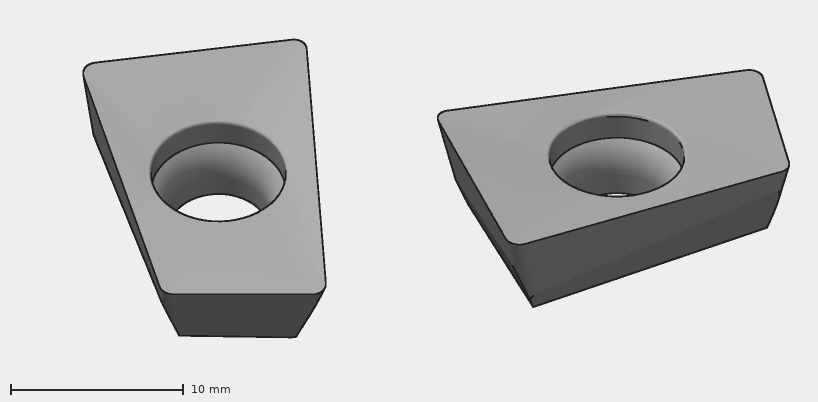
import cadquery as cq
import math

front_left = cq.Vector(-9.9, -5.66, 5.48)
front_right = cq.Vector(8.42, -5.66, 4.8)
back_left = cq.Vector(-8.09, 7.45, 5.91)
back_right_x, back_right_y = 11.18, 3.46

seat_front_left = cq.Vector(-8.03, -4.87, 0)
seat_front_right = cq.Vector(7.47, -4.4, 0)
seat_back_left = cq.Vector(-6.78, 5.58, 0)
seat_back_right = cq.Vector(9.5, 2.07, 0)

front_relief = 5
left_relief = 11.1
right_relief = 14.4
back_relief = 12.8
lower_relief = 18.5
lower_left_relief = 20.9
corner_radius = 0.8

back_left_swing = 10.5
front_left_swing = 17

rim_height = 5.0
rim_radius = 4.09
rim_round = 0.19
well_radius = rim_radius - rim_round
seat_height = 3.28
bore_height = 1.4
bore_radius = 2.9

block_size = 62.22

top_normal = (front_right - front_left).cross(back_left - front_left)


def height_on_top(x, y):
    """Height of the tilted cutting plane above a point of the base."""
    offset = top_normal.x * (x - front_left.x) + top_normal.y * (y - front_left.y)
    return front_left.z - offset / top_normal.z


back_right = cq.Vector(back_right_x, back_right_y, height_on_top(back_right_x, back_right_y))


def outside(point, normal):
    """Large block filling the space beyond a plane."""
    plane = cq.Plane(origin=point.toTuple(), normal=normal.toTuple())
    return cq.Workplane(plane).rect(block_size, block_size).extrude(block_size)


def beyond_facet(start, end, relief):
    """Space outside a side facet through an edge that runs counterclockwise."""
    along = end - start
    outward = cq.Vector(along.y, -along.x, 0).normalized()
    uphill = outward * math.tan(math.radians(relief)) + cq.Vector(0, 0, 1)
    return outside(start, along.cross(uphill))


body = cq.Workplane("XY").rect(block_size / 2, block_size / 2).extrude(block_size / 8)
for start, end, relief in (
    (front_left, front_right, front_relief),
    (front_right, back_right, right_relief),
    (back_right, back_left, back_relief),
    (back_left, front_left, left_relief),
):
    body = body.cut(beyond_facet(start, end, relief))
body = body.edges("not #Z").fillet(corner_radius)

body = body.cut(beyond_facet(seat_front_left, seat_front_right, lower_relief))
body = body.cut(beyond_facet(seat_back_left, seat_front_left, lower_left_relief))
body = body.cut(beyond_facet(seat_back_right, seat_back_left, lower_relief))

body = body.cut(outside(front_left, top_normal))


def rim_point(angle):
    return cq.Vector(rim_radius * math.cos(angle), rim_radius * math.sin(angle), rim_height)


def rim_angle(point):
    """Direction of the rim point joined to a point of the cutting edge."""
    swing = front_left_swing if point.x * point.y > 0 else back_left_swing
    return math.atan2(point.y, point.x) + math.radians(swing)


def rim_arc(start, end):
    """Arc of the hole rim joined to a stretch of the cutting edge."""
    first = rim_angle(start)
    last = rim_angle(end)
    sweep = math.remainder(last - first, 2 * math.pi)
    return cq.Edge.makeThreePointArc(rim_point(first), rim_point(first + sweep / 2), rim_point(last))


top_face = body.faces(">Z").val()
skin = [face for face in body.faces().vals() if not face.isSame(top_face)]
rim_arcs = []
for edge in top_face.outerWire().Edges():
    start, end = edge.startPoint(), edge.endPoint()
    if edge.geomType() == "LINE":
        edge = cq.Edge.makeLine(start, end)
    arc = rim_arc(start, end)
    rim_arcs.append(arc)
    skin.append(cq.Face.makeRuledSurface(edge, arc))
skin.append(cq.Face.makeFromWires(cq.Wire.assembleEdges(rim_arcs)))
insert = cq.Solid.makeSolid(cq.Shell.makeShell(skin))
insert = cq.Workplane(insert.fix())

seat_width = well_radius - bore_radius
seat_drop = seat_height - bore_height
seat_round = (seat_width**2 + seat_drop**2) / (2 * seat_width)
seat_half_angle = math.asin(seat_drop / seat_round) / 2
seat_middle = (
    bore_radius + seat_round * (1 - math.cos(seat_half_angle)),
    bore_height + seat_round * math.sin(seat_half_angle),
)
rim_middle = (
    rim_radius - rim_round * math.sin(math.pi / 4),
    rim_height - rim_round * (1 - math.cos(math.pi / 4)),
)
screw_hole = (
    cq.Workplane("XZ")
    .lineTo(bore_radius, 0)
    .lineTo(bore_radius, bore_height)
    .threePointArc(seat_middle, (well_radius, seat_height))
    .lineTo(well_radius, rim_height - rim_round)
    .threePointArc(rim_middle, (rim_radius, rim_height))
    .lineTo(0, rim_height)
    .close()
    .revolve(360, (0, 0, 0), (0, 1, 0))
)

result = insert.cut(screw_hole)